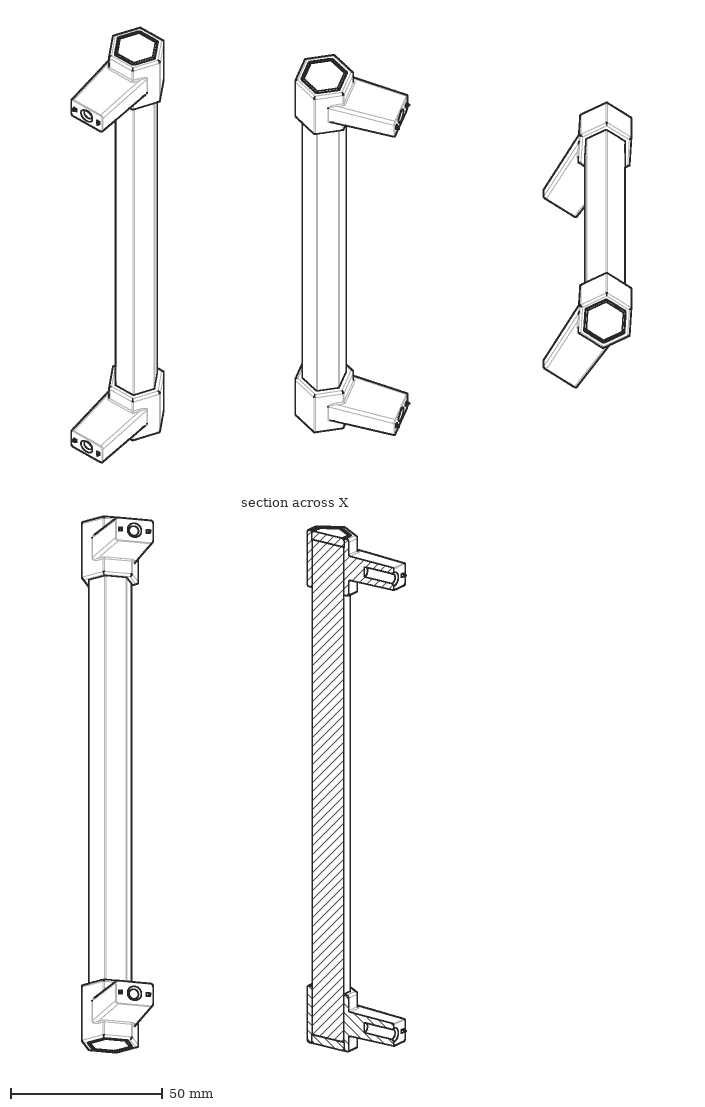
import cadquery as cq
import math

handle_length = 180.0

rod_flats = 13.0
hexagon_corner_radius = 0.5

head_flats = 17.07
support_height = 20.0
head_rim_fillet = 0.8

arm_reach = 26.97
arm_end_width = 13.15
arm_end_height = 8.0
arm_side_draft = 2.4
arm_top_draft = 1.0
arm_edge_radius = 1.0
arm_end_fillet = 0.25
arm_root_fillet = 0.5

joint_margin = 0.5

screw_hole_diameter = 3.3
countersink_diameter = 4.8
screw_hole_depth = 12.0

tooth_outer_spacing = 10.7
tooth_base = 1.2
tooth_height = 1.2

cap_thickness = 3.0
cap_chamfer = 0.6
head_bore_chamfer = 0.25


def sharp_hexagon_prism(flats, height):
    across_corners = flats / math.cos(math.radians(30))
    return cq.Workplane("XY").polygon(6, across_corners).extrude(height)


def hexagon_prism(flats, height):
    return sharp_hexagon_prism(flats, height).edges("|Z").fillet(hexagon_corner_radius)


def make_arm():
    width_taper = 2 * arm_reach * math.tan(math.radians(arm_side_draft))
    height_taper = 2 * arm_reach * math.tan(math.radians(arm_top_draft))
    arm = (
        cq.Workplane("XZ")
        .rect(arm_end_width + width_taper, arm_end_height + height_taper)
        .workplane(offset=arm_reach)
        .rect(arm_end_width, arm_end_height)
        .loft(ruled=True)
    )
    arm = arm.edges("not #Y").fillet(arm_edge_radius)
    return arm.faces("<Y").edges().fillet(arm_end_fillet)


def make_head():
    head = sharp_hexagon_prism(head_flats, support_height)
    head = head.faces("<Z or >Z").edges().fillet(head_rim_fillet)
    head = head.intersect(hexagon_prism(head_flats, support_height))
    return head.translate((0, 0, -support_height / 2))


def make_tooth(side):
    outer_x = side * tooth_outer_spacing / 2
    inner_x = outer_x - side * tooth_base
    tip_y = -arm_reach - tooth_height
    side_profile = [(inner_x, -arm_reach), (outer_x, -arm_reach), (outer_x, tip_y)]
    roof_profile = [(-arm_reach, -tooth_base / 2), (-arm_reach, tooth_base / 2), (tip_y, 0)]
    slope = cq.Workplane("XY").polyline(side_profile).close().extrude(tooth_base, both=True)
    roof = cq.Workplane("YZ").polyline(roof_profile).close().extrude(tooth_outer_spacing, both=True)
    return slope.intersect(roof)


def make_screw_hole():
    radius = screw_hole_diameter / 2
    mouth_radius = countersink_diameter / 2
    countersink_depth = mouth_radius - radius
    profile = [
        (0, -arm_reach),
        (mouth_radius, -arm_reach),
        (radius, -arm_reach + countersink_depth),
        (radius, -arm_reach + screw_hole_depth),
        (0, -arm_reach + screw_hole_depth),
    ]
    return cq.Workplane("XY").polyline(profile).close().revolve(360, (0, 0), (0, 1))


def make_bore():
    bore = hexagon_prism(rod_flats, support_height)
    return bore.translate((0, 0, -support_height / 2))


def make_support(cap_side):
    """Support centred on the origin; cap_side selects the face, ">Z" or "<Z", that takes the cap."""
    support = make_head().union(make_arm())

    joint_region = cq.selectors.BoxSelector(
        (-head_flats, -head_flats / 2 - joint_margin, -arm_end_height),
        (head_flats, -joint_margin, arm_end_height),
        boundingbox=True,
    )
    support = support.edges(joint_region).fillet(arm_root_fillet)

    for side in (-1, 1):
        support = support.union(make_tooth(side))
    support = support.cut(make_screw_hole()).cut(make_bore())

    bore_rim = support.faces(cap_side).val().innerWires()[0]
    return support.newObject(bore_rim.Edges()).chamfer(head_bore_chamfer)


def make_cap(outer_side):
    """End cap standing on Z = 0; outer_side selects its exposed face, ">Z" or "<Z"."""
    cap = sharp_hexagon_prism(rod_flats, cap_thickness)
    cap = cap.faces(outer_side).chamfer(cap_chamfer)
    return cap.intersect(hexagon_prism(rod_flats, cap_thickness))


def make_rod():
    return hexagon_prism(rod_flats, handle_length - 2 * cap_thickness)


support_offset = support_height / 2

rod = make_rod().translate((0, 0, cap_thickness))
lower_support = make_support("<Z").translate((0, 0, support_offset))
upper_support = make_support(">Z").translate((0, 0, handle_length - support_offset))
lower_cap = make_cap("<Z")
upper_cap = make_cap(">Z").translate((0, 0, handle_length - cap_thickness))

bodies = [rod, lower_support, upper_support, lower_cap, upper_cap]
result = cq.Compound.makeCompound([body.solids().val() for body in bodies])